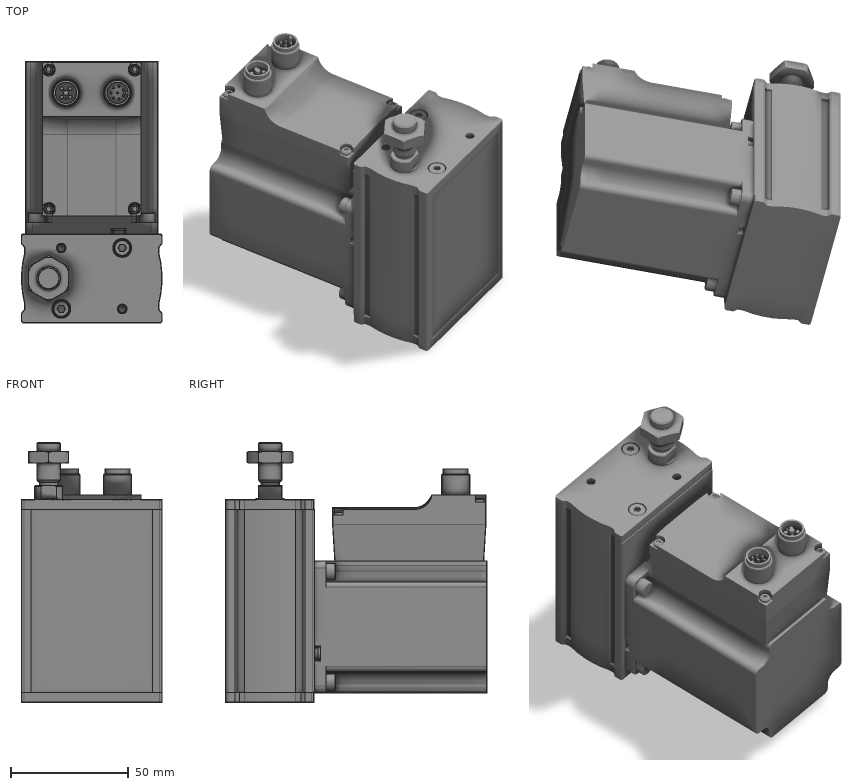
import cadquery as cq
import math


OVERLAP = 0.5

HOUSING_WIDTH = 60.0
HOUSING_HEIGHT = 86.5
CAP_HEIGHT = 4.25
CAP_DEPTH = 37.7
PROFILE_REAR = 38.0
CAP_TOP_UNDERSIDE = HOUSING_HEIGHT - CAP_HEIGHT
PROFILE_HEIGHT = HOUSING_HEIGHT - 2 * CAP_HEIGHT
HALF_WIDTH = HOUSING_WIDTH / 2
CENTRE_Y = PROFILE_REAR / 2
CORNER_RADIUS = 1.0
LAND_OFFSET = 14.9
CAP_SLOPE_OFFSET = 13.15
BULGE_OFFSET = 10.85
WAIST_HALF_WIDTH = 28.6
SLOT_LIP_OFFSET = 14.05
SLOT_LIP_HALF_WIDTH = 29.3
SLOT_FLOOR_INNER = 27.7
SLOT_FLOOR_OUTER = 27.2
PANEL_WIDTH = 52.0
PANEL_RECESS = 0.4

CAP_HOLE_OFFSET = 13.0
COUNTERBORE_DIAMETER = 8.0
COUNTERBORE_DEPTH = 3.0
SCREW_HEAD_DIAMETER = 7.0
SCREW_HEAD_CHAMFER = 0.3
SCREW_SHANK_DIAMETER = 4.0
SCREW_SHANK_DEPTH = 8.0
CAP_SOCKET_FLATS = 3.0
CAP_SOCKET_DEPTH = 2.0
MOUNT_THREAD_DIAMETER = 4.0
MOUNT_THREAD_DEPTH = 8.0
MOUNT_DRILL_DIAMETER = 3.24
MOUNT_DRILL_DEPTH = 10.0
DRILL_POINT_ANGLE = 118.0

ROD_X = -18.4
TOTAL_HEIGHT = 111.0
COLLAR_DIAMETER = 12.0
COLLAR_TOP = 92.5
COLLAR_CHAMFER = 0.4
FLAT_WIDTH = 10.0
FLAT_BOTTOM = 87.1
THREAD_DIAMETER = 10.0
THREAD_BOTTOM = 94.8
THREAD_CHAMFER = 0.6
NECK_DIAMETER = 8.0
NUT_FLATS = 17.0
NUT_BOTTOM = 102.1
NUT_HEIGHT = 5.0
NUT_FACE_DIAMETER = 18.0
NUT_CHAMFER_ANGLE = 30.0

MOTOR_Z = 32.2
MOTOR_HALF = 28.2
MOTOR_REAR = 111.5
FLANGE_REAR = 42.8
FLANGE_CORNER_RADIUS = 3.0
GROOVE_WALL = 19.1
GROOVE_CENTRE = 23.9
EDGE_RADIUS = 2.1
FLANGE_SCREW_OFFSET = 23.57
FLANGE_SCREW_DIAMETER = 7.0
FLANGE_SCREW_LENGTH = 4.2
FLANGE_SCREW_CHAMFER = 0.4
NOTCH_OFFSET = 11.4
NOTCH_WIDTH = 6.35
NOTCH_DEPTH = 2.4
NOTCH_HEAD_CENTRE = 25.0
NOTCH_HEAD_DIAMETER = 5.5
NOTCH_HEAD_HEIGHT = 1.0
NOTCH_NECK_DIAMETER = 5.0

BOX_HALF_WIDTH = 21.05
BOX_FRONT = 45.65
BOX_REAR = 111.1
BOX_TAPER = 0.95
BOX_SEAM_Z = 75.9
BOX_TOP = 88.5
STEP_SHOULDER_Y = 88.1
STEP_FOOT_Y = 80.5
LOW_TOP_CENTRE = 83.1
LOW_TOP_EDGE = 82.3
CROWN_HALF_WIDTH = 10.35
STEP_ANGLE_CENTRE = 57.0
STEP_ANGLE_EDGE = 77.0
LID_SCREW_X = 18.35
LID_SCREW_REAR_Y = 108.15
LID_SCREW_FRONT_Y = 48.6
LID_POCKET_DIAMETER = 5.5
LID_POCKET_DEPTH = 3.1
LID_CORNER_SIZE = 4.4
LID_HEAD_DIAMETER = 4.4
LID_HEAD_HEIGHT = 1.6
LID_HEAD_CHAMFER = 0.5
LID_SOCKET_FLATS = 2.0
LID_SOCKET_DEPTH = 0.8

CONNECTOR_X = 11.0
CONNECTOR_Y = 98.2
CONNECTOR_DIAMETER = 12.0
CONNECTOR_CHAMFER = 0.4
CONNECTOR_SHOULDER_Z = 97.5
CONNECTOR_TOP = 99.6
CONNECTOR_RIM_DIAMETER = 10.7
CONNECTOR_BORE = 9.02
CONNECTOR_FLOOR_Z = 90.5
PIN_TOP = 97.5
POWER_PIN_DIAMETER = 1.5
POWER_PIN_OFFSET = 1.8
POWER_CORE_DIAMETER = 2.2
POWER_CORE_TOP = 98.6
EARTH_PIN_Y = -2.5
SIGNAL_PIN_DIAMETER = 0.8
SIGNAL_PIN_CIRCLE = 5.5
SIGNAL_PIN_COUNT = 7
KEY_WIDTH = 1.2
KEY_INNER_X = 3.3
KEY_TOP = 99.0


def cylinder_z(x, y, diameter, bottom, top):
    """Vertical cylinder between two heights."""
    return cq.Workplane("XY", origin=(x, y, bottom)).circle(diameter / 2).extrude(top - bottom)


def cylinder_y(x, z, diameter, front, rear):
    """Cylinder along Y between two depths."""
    return cq.Workplane("XZ", origin=(x, front, z)).circle(diameter / 2).extrude(front - rear)


def block(x0, x1, y0, y1, z0, z1):
    """Box given by its limits."""
    middle = ((x0 + x1) / 2, (y0 + y1) / 2, z0)
    return cq.Workplane("XY", origin=middle).rect(x1 - x0, y1 - y0).extrude(z1 - z0)


def hex_socket(x, y, top, flats, depth):
    """Hexagonal recess cutter sunk below the height top, corners along X."""
    corners = flats / math.cos(math.pi / 6)
    return cq.Workplane("XY", origin=(x, y, top)).polygon(6, corners).extrude(-depth)



def housing_prism(side_points, rear, bottom, height):
    """Prism with waisted, bulged sides.

    side_points lists (distance from CENTRE_Y, half width) of one side from the
    corner land to the end of the bulge; it is mirrored to the other three places.
    """
    right_front = [(x, CENTRE_Y - d) for d, x in side_points]
    right_rear = [(x, CENTRE_Y + d) for d, x in reversed(side_points)]
    left_rear = [(-x, y) for x, y in reversed(right_rear)]
    left_front = [(-x, y) for x, y in reversed(right_front)]
    prism = (
        cq.Workplane("XY", origin=(0, 0, bottom))
        .moveTo(-HALF_WIDTH, 0)
        .lineTo(HALF_WIDTH, 0)
    )
    for point in right_front:
        prism = prism.lineTo(*point)
    prism = prism.threePointArc((HALF_WIDTH, CENTRE_Y), right_rear[0])
    for point in right_rear[1:] + [(HALF_WIDTH, rear), (-HALF_WIDTH, rear)] + left_rear:
        prism = prism.lineTo(*point)
    prism = prism.threePointArc((-HALF_WIDTH, CENTRE_Y), left_front[0])
    for point in left_front[1:]:
        prism = prism.lineTo(*point)
    prism = prism.close().extrude(height)
    for x in (-HALF_WIDTH, HALF_WIDTH):
        for y in (0, rear):
            near_corner = cq.selectors.NearestToPointSelector((x, y, bottom + height / 2))
            prism = prism.edges("|Z").edges(near_corner).fillet(CORNER_RADIUS)
    return prism


def cap_blank(bottom):
    side = [
        (LAND_OFFSET, HALF_WIDTH),
        (CAP_SLOPE_OFFSET, WAIST_HALF_WIDTH),
        (BULGE_OFFSET, WAIST_HALF_WIDTH),
    ]
    return housing_prism(side, CAP_DEPTH, bottom, CAP_HEIGHT)


CAP_SCREW_PLACES = [(s * CAP_HOLE_OFFSET, CENTRE_Y + s * CAP_HOLE_OFFSET) for s in (-1, 1)]
MOUNT_HOLE_PLACES = [(s * CAP_HOLE_OFFSET, CENTRE_Y - s * CAP_HOLE_OFFSET) for s in (-1, 1)]
SCREW_SEAT_Z = HOUSING_HEIGHT - COUNTERBORE_DEPTH
SCREW_TIP_Z = CAP_TOP_UNDERSIDE - SCREW_SHANK_DEPTH


def screw_shank(x, y):
    return cylinder_z(x, y, SCREW_SHANK_DIAMETER, SCREW_TIP_Z, SCREW_SEAT_Z)


def mounting_hole(x, y):
    """Blind threaded hole with its core drilling, as a solid of revolution."""
    thread = MOUNT_THREAD_DIAMETER / 2
    drill = MOUNT_DRILL_DIAMETER / 2
    tip = drill / math.tan(math.radians(DRILL_POINT_ANGLE / 2))
    outline = [
        (0, 0),
        (thread, 0),
        (thread, -MOUNT_THREAD_DEPTH),
        (drill, -MOUNT_THREAD_DEPTH),
        (drill, -MOUNT_DRILL_DEPTH),
        (0, -MOUNT_DRILL_DEPTH - tip),
    ]
    return cq.Workplane("XZ", origin=(x, y, HOUSING_HEIGHT)).polyline(outline).close().revolve()


def make_profile():
    side = [
        (LAND_OFFSET, HALF_WIDTH),
        (SLOT_LIP_OFFSET, SLOT_LIP_HALF_WIDTH),
        (SLOT_LIP_OFFSET, SLOT_FLOOR_OUTER),
        (BULGE_OFFSET, SLOT_FLOOR_INNER),
        (BULGE_OFFSET, WAIST_HALF_WIDTH),
    ]
    profile = housing_prism(side, PROFILE_REAR, CAP_HEIGHT, PROFILE_HEIGHT)
    panel = PANEL_WIDTH / 2
    profile = profile.cut(block(-panel, panel, -OVERLAP, PANEL_RECESS, CAP_HEIGHT, CAP_TOP_UNDERSIDE))
    for x, y in CAP_SCREW_PLACES:
        profile = profile.cut(screw_shank(x, y))
    for x, y in MOUNT_HOLE_PLACES:
        profile = profile.cut(mounting_hole(x, y))
    return profile


def make_top_cap():
    cap = cap_blank(CAP_TOP_UNDERSIDE)
    cap = cap.cut(cylinder_z(ROD_X, CENTRE_Y, COLLAR_DIAMETER, CAP_TOP_UNDERSIDE, HOUSING_HEIGHT))
    for x, y in CAP_SCREW_PLACES:
        cap = cap.cut(cylinder_z(x, y, COUNTERBORE_DIAMETER, SCREW_SEAT_Z, HOUSING_HEIGHT))
        cap = cap.cut(screw_shank(x, y))
    for x, y in MOUNT_HOLE_PLACES:
        cap = cap.cut(mounting_hole(x, y))
    return cap


def make_cap_screw(x, y):
    head = cylinder_z(x, y, SCREW_HEAD_DIAMETER, SCREW_SEAT_Z, HOUSING_HEIGHT)
    head = head.faces(">Z").edges().chamfer(SCREW_HEAD_CHAMFER)
    socket = hex_socket(x, y, HOUSING_HEIGHT, CAP_SOCKET_FLATS, CAP_SOCKET_DEPTH)
    return head.cut(socket).union(screw_shank(x, y))



def make_rod():
    thread = THREAD_DIAMETER / 2
    neck = NECK_DIAMETER / 2
    collar = COLLAR_DIAMETER / 2
    outline = [
        (0, CAP_TOP_UNDERSIDE),
        (collar, CAP_TOP_UNDERSIDE),
        (collar, COLLAR_TOP - COLLAR_CHAMFER),
        (collar - COLLAR_CHAMFER, COLLAR_TOP),
        (neck, COLLAR_TOP),
        (neck, THREAD_BOTTOM - (thread - neck)),
        (thread, THREAD_BOTTOM),
        (thread, TOTAL_HEIGHT - THREAD_CHAMFER),
        (thread - THREAD_CHAMFER, TOTAL_HEIGHT),
        (0, TOTAL_HEIGHT),
    ]
    rod = cq.Workplane("XZ", origin=(ROD_X, CENTRE_Y, 0)).polyline(outline).close().revolve()
    for side in (-1, 1):
        flat = CENTRE_Y + side * FLAT_WIDTH / 2
        beyond = CENTRE_Y + side * COLLAR_DIAMETER
        y0, y1 = min(flat, beyond), max(flat, beyond)
        rod = rod.cut(block(ROD_X - collar, ROD_X + collar, y0, y1, FLAT_BOTTOM, COLLAR_TOP))
    return rod


def make_nut():
    corner_radius = NUT_FLATS / 2 / math.cos(math.pi / 6)
    hexagon = (
        cq.Workplane("XY", origin=(ROD_X, CENTRE_Y, NUT_BOTTOM))
        .transformed(rotate=(0, 0, 90))
        .polygon(6, 2 * corner_radius)
        .extrude(NUT_HEIGHT)
    )
    face_radius = NUT_FACE_DIAMETER / 2
    drop = (corner_radius - face_radius) * math.tan(math.radians(NUT_CHAMFER_ANGLE))
    outline = [
        (THREAD_DIAMETER / 2, 0),
        (face_radius, 0),
        (corner_radius, drop),
        (corner_radius, NUT_HEIGHT - drop),
        (face_radius, NUT_HEIGHT),
        (THREAD_DIAMETER / 2, NUT_HEIGHT),
    ]
    envelope = cq.Workplane("XZ", origin=(ROD_X, CENTRE_Y, NUT_BOTTOM)).polyline(outline).close().revolve()
    return hexagon.intersect(envelope)



def rotated(point, quarter_turns):
    x, z = point
    for _ in range(quarter_turns):
        x, z = -z, x
    return (x, z)


def make_motor_body():
    """Square extrusion with a rounded screw groove along each corner."""
    side_z = GROOVE_WALL - EDGE_RADIUS
    edge_centre = MOTOR_HALF - EDGE_RADIUS
    edge_mid = EDGE_RADIUS * math.sqrt(0.5)
    groove_mid = GROOVE_CENTRE - (GROOVE_CENTRE - GROOVE_WALL) * math.sqrt(0.5)
    body = cq.Workplane("XZ", origin=(0, FLANGE_REAR, MOTOR_Z)).moveTo(MOTOR_HALF, side_z)
    for turn in range(4):
        def at(x, z):
            return rotated((x, z), turn)

        if turn > 0:
            body = body.lineTo(*at(MOTOR_HALF, side_z))
        body = (
            body.threePointArc(at(edge_centre + edge_mid, side_z + edge_mid), at(edge_centre, GROOVE_WALL))
            .lineTo(*at(GROOVE_CENTRE, GROOVE_WALL))
            .threePointArc(at(groove_mid, groove_mid), at(GROOVE_WALL, GROOVE_CENTRE))
            .lineTo(*at(GROOVE_WALL, edge_centre))
            .threePointArc(at(side_z + edge_mid, edge_centre + edge_mid), at(side_z, MOTOR_HALF))
        )
    return body.close().extrude(FLANGE_REAR - MOTOR_REAR)


def notch_with_head(flange):
    """Cut the open notch in the flange's top side and leave a stepped screw head in it."""
    top = MOTOR_Z + MOTOR_HALF
    head_z = MOTOR_Z + NOTCH_HEAD_CENTRE
    half = NOTCH_WIDTH / 2
    notch_end = PROFILE_REAR + NOTCH_DEPTH
    notch = block(
        NOTCH_OFFSET - half, NOTCH_OFFSET + half, PROFILE_REAR, notch_end, head_z, top + OVERLAP
    ).union(cylinder_y(NOTCH_OFFSET, head_z, NOTCH_WIDTH, PROFILE_REAR, notch_end))
    head_front = notch_end - NOTCH_HEAD_HEIGHT
    head = cylinder_y(NOTCH_OFFSET, head_z, NOTCH_HEAD_DIAMETER, head_front, notch_end)
    neck = cylinder_y(NOTCH_OFFSET, head_z, NOTCH_NECK_DIAMETER, PROFILE_REAR, head_front)
    return flange.cut(notch.cut(head).cut(neck))


def make_flange():
    flange = (
        cq.Workplane("XZ", origin=(0, PROFILE_REAR, MOTOR_Z))
        .rect(2 * MOTOR_HALF, 2 * MOTOR_HALF)
        .extrude(PROFILE_REAR - FLANGE_REAR)
        .edges("|Y")
        .fillet(FLANGE_CORNER_RADIUS)
    )
    axis_start = (0, 0, MOTOR_Z)
    axis_end = (0, 1, MOTOR_Z)
    for _ in range(4):
        flange = notch_with_head(flange).rotate(axis_start, axis_end, 90)
    return flange


def flange_screws():
    screws = cq.Workplane("XY")
    rear = FLANGE_REAR + FLANGE_SCREW_LENGTH
    for sx in (-1, 1):
        for sz in (-1, 1):
            x = sx * FLANGE_SCREW_OFFSET
            z = MOTOR_Z + sz * FLANGE_SCREW_OFFSET
            head = cylinder_y(x, z, FLANGE_SCREW_DIAMETER, FLANGE_REAR - OVERLAP, rear)
            screws = screws.add(head.faces(">Y").edges().chamfer(FLANGE_SCREW_CHAMFER))
    return screws


def step_section(x, low_top, angle):
    """Section, at one X, of the space cleared above the low front part of the box top."""
    steepness = math.radians(angle)
    bend_y = STEP_SHOULDER_Y - (BOX_TOP - low_top) / math.tan(steepness)
    tangent = bend_y - STEP_FOOT_Y
    radius = tangent / math.tan(steepness / 2)
    arc_end = (bend_y + tangent * math.cos(steepness), low_top + tangent * math.sin(steepness))
    arc_mid = (
        STEP_FOOT_Y + radius * math.sin(steepness / 2),
        low_top + radius * (1 - math.cos(steepness / 2)),
    )
    front = BOX_FRONT - OVERLAP
    return (
        cq.Workplane("YZ", origin=(x, 0, 0))
        .moveTo(front, low_top)
        .lineTo(STEP_FOOT_Y, low_top)
        .threePointArc(arc_mid, arc_end)
        .lineTo(STEP_SHOULDER_Y, BOX_TOP)
        .lineTo(front, BOX_TOP)
        .close()
    )


def low_top_space():
    """Flat middle strip and two falling sides, rising in a curved step at the rear."""
    middle = step_section(-CROWN_HALF_WIDTH, LOW_TOP_CENTRE, STEP_ANGLE_CENTRE)
    space = [middle.extrude(2 * CROWN_HALF_WIDTH)]
    for side in (-1, 1):
        inner = step_section(side * CROWN_HALF_WIDTH, LOW_TOP_CENTRE, STEP_ANGLE_CENTRE)
        outer = step_section(side * BOX_HALF_WIDTH, LOW_TOP_EDGE, STEP_ANGLE_EDGE)
        wires = [inner.wire().val(), outer.wire().val()]
        space.append(cq.Workplane(cq.Solid.makeLoft(wires, True)))
    return space


def lid_screw(box, side, screw_y, corner_y, surface_z):
    """Corner pocket, open to the outside, with a screw head on its floor."""
    x = side * LID_SCREW_X
    floor = surface_z - LID_POCKET_DEPTH
    corner_x = side * BOX_HALF_WIDTH
    inner_x = corner_x - side * LID_CORNER_SIZE
    inner_y = corner_y + math.copysign(LID_CORNER_SIZE, screw_y - corner_y)
    x0, x1 = min(corner_x, inner_x), max(corner_x, inner_x)
    y0, y1 = min(corner_y, inner_y), max(corner_y, inner_y)
    box = box.cut(cylinder_z(x, screw_y, LID_POCKET_DIAMETER, floor, BOX_TOP))
    box = box.cut(block(x0, x1, y0, y1, floor, BOX_TOP))
    head_top = floor + LID_HEAD_HEIGHT
    head = cylinder_z(x, screw_y, LID_HEAD_DIAMETER, floor - OVERLAP, head_top)
    head = head.faces(">Z").edges().chamfer(LID_HEAD_CHAMFER)
    socket = hex_socket(x, screw_y, head_top, LID_SOCKET_FLATS, LID_SOCKET_DEPTH)
    return box.union(head.cut(socket))


def make_electronics_box():
    depth = BOX_REAR - BOX_FRONT
    middle_y = (BOX_REAR + BOX_FRONT) / 2
    foot_z = MOTOR_Z + MOTOR_HALF
    tapered = (
        cq.Workplane("XY", origin=(0, middle_y, foot_z))
        .rect(2 * (BOX_HALF_WIDTH - BOX_TAPER), depth - 2 * BOX_TAPER)
        .workplane(offset=BOX_SEAM_Z - foot_z)
        .rect(2 * BOX_HALF_WIDTH, depth)
        .loft(ruled=True)
    )
    box = block(-BOX_HALF_WIDTH, BOX_HALF_WIDTH, BOX_FRONT, BOX_REAR, BOX_SEAM_Z, BOX_TOP)
    for piece in low_top_space():
        box = box.cut(piece)
    for side in (-1, 1):
        box = lid_screw(box, side, LID_SCREW_REAR_Y, BOX_REAR, BOX_TOP)
        box = lid_screw(box, side, LID_SCREW_FRONT_Y, BOX_FRONT, LOW_TOP_CENTRE)
    return tapered.union(box, clean=False)


def connector_shell(x):
    shell = cylinder_z(x, CONNECTOR_Y, CONNECTOR_DIAMETER, BOX_TOP - OVERLAP, CONNECTOR_SHOULDER_Z)
    shell = shell.faces(">Z").edges().chamfer(CONNECTOR_CHAMFER)
    rim = cylinder_z(x, CONNECTOR_Y, CONNECTOR_RIM_DIAMETER, CONNECTOR_SHOULDER_Z, CONNECTOR_TOP)
    return shell.union(rim).cut(cylinder_z(x, CONNECTOR_Y, CONNECTOR_BORE, CONNECTOR_FLOOR_Z, CONNECTOR_TOP))


def connector_pin(x, dx, dy, diameter, top=PIN_TOP):
    return cylinder_z(x + dx, CONNECTOR_Y + dy, diameter, CONNECTOR_FLOOR_Z - OVERLAP, top)


def power_connector():
    """Left plug: four thick pins, a central core and a thin earth pin."""
    x = -CONNECTOR_X
    plug = connector_shell(x)
    for sx in (-1, 1):
        for sy in (-1, 1):
            dx = sx * POWER_PIN_OFFSET
            dy = sy * POWER_PIN_OFFSET
            plug = plug.union(connector_pin(x, dx, dy, POWER_PIN_DIAMETER))
    plug = plug.union(connector_pin(x, 0, 0, POWER_CORE_DIAMETER, POWER_CORE_TOP))
    return plug.union(connector_pin(x, 0, EARTH_PIN_Y, SIGNAL_PIN_DIAMETER))


def signal_connector():
    """Right plug: a ring of thin pins around a central one, with a key on the +X wall."""
    x = CONNECTOR_X
    plug = connector_shell(x).union(connector_pin(x, 0, 0, SIGNAL_PIN_DIAMETER))
    for index in range(SIGNAL_PIN_COUNT):
        angle = math.pi + 2 * math.pi * index / SIGNAL_PIN_COUNT
        dx = SIGNAL_PIN_CIRCLE / 2 * math.cos(angle)
        dy = SIGNAL_PIN_CIRCLE / 2 * math.sin(angle)
        plug = plug.union(connector_pin(x, dx, dy, SIGNAL_PIN_DIAMETER))
    half = KEY_WIDTH / 2
    wall = (CONNECTOR_BORE + CONNECTOR_RIM_DIAMETER) / 4
    key = block(
        x + KEY_INNER_X, x + wall, CONNECTOR_Y - half, CONNECTOR_Y + half,
        CONNECTOR_FLOOR_Z - OVERLAP, KEY_TOP,
    )
    return plug.union(key)


def make_motor():
    motor = make_motor_body().union(make_flange())
    for head in flange_screws().vals():
        motor = motor.union(cq.Workplane(head), clean=False)
    for piece in (make_electronics_box(), power_connector(), signal_connector()):
        motor = motor.union(piece, clean=False)
    return motor



profile = make_profile()
top_cap = make_top_cap()
bottom_cap = cap_blank(0)
cap_screws = [make_cap_screw(x, y) for x, y in CAP_SCREW_PLACES]
rod = make_rod()
nut = make_nut()
motor = make_motor()

result = cq.Compound.makeCompound([
    profile.val(),
    top_cap.val(),
    bottom_cap.val(),
    *[screw.val() for screw in cap_screws],
    rod.val(),
    nut.val(),
    motor.val(),
])